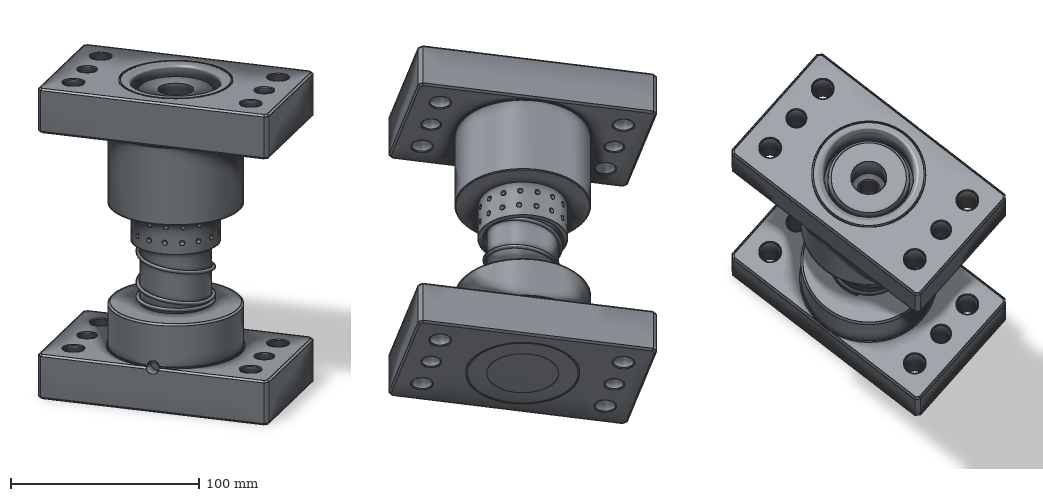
import cadquery as cq
import math

total_height = 175.3
plate_thickness = 25.0
upper_plate_base = total_height - plate_thickness

plate_length = 130.0
plate_width = 75.0
plate_turn = 30.9
plate_corner_chamfer = 2.1
plate_edge_chamfer = 1.0
hole_column_offset = 50.0
hole_row_spacing = 21.9
outer_hole_diameter = 11.0
middle_hole_diameter = 10.0
hole_edge_chamfer = 0.5

dowel_hole_diameter = 7.0
dowel_hole_depth = 14.0

spigot_radius = 30.3
spigot_end_chamfer = 0.9
flange_radius = 36.1
bushing_edge_chamfer = 0.5
collar_edge_chamfer = 1.0
lip_radius = 36.8
lip_height = 0.7
bushing_flange_height = 44.5
collar_flange_height = 24.9
bushing_mouth_fillet = 3.0

pillar_radius = 19.1
pillar_top = 169.9
head_radius = 21.7
head_height = 7.0
head_chamfer = 1.8
counterbore_radius = 9.5
counterbore_depth = 17.5
screw_hole_radius = 5.3
screw_hole_chamfer = 0.9
screw_hole_depth = 14.0
drill_tip_angle = math.radians(118)
drill_tip_depth = screw_hole_radius / math.tan(drill_tip_angle / 2)

cage_radius = 23.8
cage_base = 85.0
cage_top = pillar_top - head_height
pockets_per_row = 16
pocket_radius = 1.4
pocket_rows = ((91.3, 9.0), (100.3, 7.5))

wire_diameter = 2.0
coil_radius = 20.2
closed_turns = 1.4
closed_pitch = 2.72
active_turns = 2.0
active_pitch = 17.5
points_per_turn = 16
spring_clearance = 0.2

collar_top = plate_thickness + collar_flange_height
spring_start = collar_top + wire_diameter / 2
closed_rise = closed_turns * closed_pitch
spring_end = spring_start + 2 * closed_rise + active_turns * active_pitch
spring_seat = spring_end + wire_diameter / 2
spring_pocket_radius = coil_radius + wire_diameter / 2 + spring_clearance


def turned(body):
    """Turn a body about Z to line up with the plates."""
    return body.rotate((0, 0, 0), (0, 0, 1), plate_turn)


def make_dowel_hole():
    """Blind cutter entering the front long side, centred on the joint height."""
    return (
        cq.Workplane("XZ", origin=(0, -plate_width / 2, plate_thickness))
        .circle(dowel_hole_diameter / 2)
        .extrude(-dowel_hole_depth)
    )


def make_edged_hole(x, y, diameter):
    """Through-plate cutter, flared at both ends to chamfer the hole's edges."""
    radius = diameter / 2
    flared_radius = radius + hole_edge_chamfer
    return (
        cq.Workplane("XZ")
        .lineTo(flared_radius, 0)
        .lineTo(radius, hole_edge_chamfer)
        .lineTo(radius, plate_thickness - hole_edge_chamfer)
        .lineTo(flared_radius, plate_thickness)
        .lineTo(0, plate_thickness)
        .close()
        .revolve(360, (0, 0, 0), (0, 1, 0))
        .translate((x, y, 0))
    )


def make_plate():
    """Plate resting on Z = 0, with a bore for the spigot and two columns of three holes."""
    plate = (
        cq.Workplane("XY")
        .box(plate_length, plate_width, plate_thickness, centered=(True, True, False))
        .edges("|Z")
        .chamfer(plate_corner_chamfer)
        .faces("<Z or >Z")
        .edges()
        .chamfer(plate_edge_chamfer)
    )
    for column in (-hole_column_offset, hole_column_offset):
        for row in (-hole_row_spacing, hole_row_spacing):
            plate = plate.cut(make_edged_hole(column, row, outer_hole_diameter))
        plate = plate.cut(make_edged_hole(column, 0, middle_hole_diameter))
    return plate.cut(cq.Workplane("XY").circle(spigot_radius).extrude(plate_thickness))


def make_flanged_sleeve(flange_height, edge_chamfer, bore_radius):
    """Sleeve with its spigot end on Z = 0 and its flange above the plate thickness."""
    sleeve_end = plate_thickness + flange_height
    return (
        cq.Workplane("XZ")
        .moveTo(bore_radius, 0)
        .lineTo(spigot_radius - spigot_end_chamfer, 0)
        .lineTo(spigot_radius, spigot_end_chamfer)
        .lineTo(spigot_radius, plate_thickness)
        .lineTo(lip_radius, plate_thickness)
        .lineTo(lip_radius, plate_thickness + lip_height)
        .lineTo(flange_radius, plate_thickness + lip_height)
        .lineTo(flange_radius, sleeve_end - edge_chamfer)
        .lineTo(flange_radius - edge_chamfer, sleeve_end)
        .lineTo(bore_radius, sleeve_end)
        .close()
        .revolve(360, (0, 0, 0), (0, 1, 0))
    )


def make_bushing():
    """Upper sleeve, hung spigot up from the upper plate, with a rounded bore mouth."""
    sleeve = make_flanged_sleeve(bushing_flange_height, bushing_edge_chamfer, cage_radius)
    mouth = cq.selectors.RadiusNthSelector(0)
    sleeve = sleeve.faces("<Z").edges(mouth).fillet(bushing_mouth_fillet)
    return sleeve.rotate((0, 0, 0), (1, 0, 0), 180).translate((0, 0, total_height))


def make_pillar():
    """Headed pillar with a stepped, cone-ended screw hole in its top."""
    step_z = pillar_top - counterbore_depth
    drill_z = step_z - screw_hole_depth
    return (
        cq.Workplane("XZ")
        .lineTo(pillar_radius, 0)
        .lineTo(pillar_radius, cage_top)
        .lineTo(head_radius, cage_top)
        .lineTo(head_radius, pillar_top - head_chamfer)
        .lineTo(head_radius - head_chamfer, pillar_top)
        .lineTo(counterbore_radius, pillar_top)
        .lineTo(counterbore_radius, step_z)
        .lineTo(screw_hole_radius + screw_hole_chamfer, step_z)
        .lineTo(screw_hole_radius, step_z - screw_hole_chamfer)
        .lineTo(screw_hole_radius, drill_z)
        .lineTo(0, drill_z - drill_tip_depth)
        .close()
        .revolve(360, (0, 0, 0), (0, 1, 0))
    )


def pocket_centre(index, row_turn, row_height):
    """Centre of one ball pocket, on the cage's outer surface."""
    angle = math.radians(index * 360 / pockets_per_row - row_turn)
    return cq.Vector(cage_radius * math.cos(angle), cage_radius * math.sin(angle), row_height)


def make_cage():
    """Tube around the pillar with rows of round ball pockets and a seat for the spring."""
    cage = (
        cq.Workplane("XZ")
        .moveTo(pillar_radius, cage_top)
        .lineTo(cage_radius, cage_top)
        .lineTo(cage_radius, cage_base)
        .lineTo(spring_pocket_radius, cage_base)
        .lineTo(spring_pocket_radius, spring_seat)
        .lineTo(pillar_radius, spring_seat)
        .close()
        .revolve(360, (0, 0, 0), (0, 1, 0))
    )
    pockets = [
        cq.Solid.makeSphere(pocket_radius, angleDegrees1=-90).moved(
            cq.Location(pocket_centre(index, row_turn, row_height))
        )
        for row_height, row_turn in pocket_rows
        for index in range(pockets_per_row)
    ]
    return cage.cut(cq.Workplane(cq.Compound.makeCompound(pockets)), clean=False)


def wire_height(turns):
    """Height of the spring's wire centre after a number of turns from its lower end."""
    lower = min(turns, closed_turns)
    active = min(max(turns - closed_turns, 0), active_turns)
    upper = max(turns - closed_turns - active_turns, 0)
    return spring_start + (lower + upper) * closed_pitch + active * active_pitch


def make_spring():
    """Round wire swept along a left-hand coil whose active part starts on the +X side."""
    total_turns = 2 * closed_turns + active_turns
    steps = round(total_turns * points_per_turn)
    path_points = []
    for step in range(steps + 1):
        turns = total_turns * step / steps
        angle = -2 * math.pi * (turns - closed_turns)
        path_points.append(
            (coil_radius * math.cos(angle), coil_radius * math.sin(angle), wire_height(turns))
        )
    path = cq.Workplane("XY").spline(path_points)
    start_plane = cq.Plane(path_points[0], normal=path.val().tangentAt(0))
    return cq.Workplane(start_plane).circle(wire_diameter / 2).sweep(path, isFrenet=True)


dowel_hole = make_dowel_hole()
lower_plate = turned(make_plate().cut(dowel_hole))
upper_plate = turned(make_plate()).translate((0, 0, upper_plate_base))
collar = make_flanged_sleeve(collar_flange_height, collar_edge_chamfer, pillar_radius)
collar = turned(collar.cut(dowel_hole))
bushing = make_bushing()
pillar = make_pillar()
cage = make_cage()
spring = make_spring()

result = cq.Compound.makeCompound(
    [
        lower_plate.val(),
        upper_plate.val(),
        collar.val(),
        bushing.val(),
        pillar.val(),
        cage.val(),
        spring.val(),
    ]
)